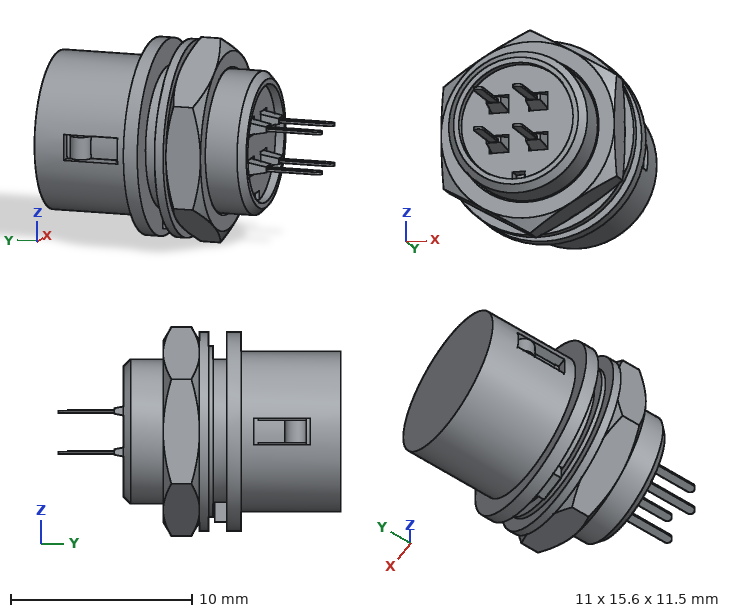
import cadquery as cq
import math


body_length = 12.0
thread_radius = 4.0
end_chamfer = 0.4
flange_radius = 5.5
flange_start = 5.7
flange_end = 6.5
barrel_radius = 4.43

recess_radius = 3.3
recess_depth = 0.5
keyway_width = 0.72
keyway_top = -2.78
keyway_depth = 0.75
key_clearance = 0.1

hexagon_sides = 6
nut_width = 10.0
nut_start = 2.2
nut_thickness = 2.0
nut_chamfer_angle = 30.0
nut_bore_chamfer = 0.11
washer_radius = flange_radius
washer_thickness = 0.5
lock_ring_radius = 4.72
lock_ring_thickness = 0.25

tab_width = 1.7
tab_reach = 5.0
tab_length = 0.67

window_start = 7.2
window_end = 10.3
window_height = 1.46
arm_radius = 3.88
arm_height = 1.26
slit_start = 7.44
slit_depth = 0.35
latch_bump_radius = 0.6
latch_bump_y = 9.5
slit_end = latch_bump_y + latch_bump_radius
latch_bump_reach = 4.41

pin_circle_diameter = 3.2
pin_offset = pin_circle_diameter / 2 * math.sin(math.radians(45))
pin_tip_y = -3.6
pin_width = 0.52
pin_thickness = 0.14
pin_top = 0.02
rib_width = 0.32
rib_height = 0.06
rib_end_y = -3.07
pocket_width = 1.1
pocket_height = 1.0
taper_base_y = 1.3
taper_end_y = -0.5
taper_end_width = 0.83
taper_end_height = 0.32


def box(x_min, x_max, y_min, y_max, z_min, z_max):
    """Box between opposite corner coordinates."""
    size = (x_max - x_min, y_max - y_min, z_max - z_min)
    return cq.Workplane("XY").box(*size, centered=False).translate((x_min, y_min, z_min))


def disc(radius, y_start, y_end):
    """Cylinder about the Y axis."""
    return cq.Workplane("XZ", origin=(0, y_end, 0)).circle(radius).extrude(y_end - y_start)


def make_body():
    body = disc(thread_radius, 0, flange_end).faces("<Y").chamfer(end_chamfer)
    body = body.union(disc(flange_radius, flange_start, flange_end))
    body = body.union(disc(barrel_radius, flange_end, body_length))
    return body.cut(disc(recess_radius, 0, recess_depth))


def make_nut():
    """Hexagon with corners on the Z axis, chamfered at both ends."""
    corner_radius = nut_width / 2 / math.cos(math.pi / hexagon_sides)
    nut_end = nut_start + nut_thickness
    hexagon = (
        cq.Workplane("XZ", origin=(0, nut_end, 0))
        .polygon(hexagon_sides, 2 * corner_radius)
        .extrude(nut_thickness)
        .rotate((0, 0, 0), (0, 1, 0), 180 / hexagon_sides)
    )
    chamfer_radial = corner_radius - nut_width / 2
    chamfer_axial = chamfer_radial * math.tan(math.radians(nut_chamfer_angle))
    envelope = disc(corner_radius, nut_start, nut_end)
    envelope = envelope.faces("<Y or >Y").chamfer(chamfer_axial, chamfer_radial)
    bore_mouth = (
        cq.Workplane("XY")
        .moveTo(thread_radius, nut_start)
        .lineTo(thread_radius + nut_bore_chamfer, nut_start)
        .lineTo(thread_radius, nut_start + nut_bore_chamfer)
        .close()
        .revolve(360, (0, 0, 0), (0, 1, 0))
    )
    return hexagon.intersect(envelope).cut(disc(thread_radius, nut_start, nut_end)).cut(bore_mouth)


def make_washers():
    washer_start = nut_start + nut_thickness
    ring_start = washer_start + washer_thickness
    washer = disc(washer_radius, washer_start, ring_start)
    return washer.union(disc(lock_ring_radius, ring_start, ring_start + lock_ring_thickness))


def make_tab():
    return box(-tab_width / 2, tab_width / 2, flange_start - tab_length, flange_start, -tab_reach, 0)


def make_keyway():
    """Slot in the insert rim, partly filled by a key with a rounded nose."""
    half_width = keyway_width / 2
    slot_end = recess_depth + keyway_depth
    slot = box(-half_width, half_width, 0, slot_end, -recess_radius, keyway_top)
    key = (
        cq.Workplane("XY", origin=(0, 0, -recess_radius))
        .moveTo(-half_width, slot_end)
        .threePointArc((0, slot_end - half_width), (half_width, slot_end))
        .close()
        .extrude(keyway_top - key_clearance + recess_radius)
    )
    return slot.cut(key).intersect(disc(recess_radius, 0, slot_end))


def make_latch_window():
    """Window through the barrel wall on the +X side, with a slit on each side of the latch arm."""
    half_window = window_height / 2
    half_arm = arm_height / 2
    window = box(0, flange_radius, window_start, window_end, -half_window, half_window)
    window = window.cut(disc(arm_radius, window_start, window_end))
    slits = box(0, arm_radius, slit_start, slit_end, -half_window, half_window)
    slits = slits.cut(box(0, arm_radius, slit_start, slit_end, -half_arm, half_arm))
    slits = slits.cut(disc(arm_radius - slit_depth, slit_start, slit_end))
    return window.union(slits)


def make_latch_bump():
    """Rounded bump across the +X latch arm, rooted in the arm."""
    root_x = arm_radius - slit_depth
    center_x = latch_bump_reach - latch_bump_radius
    return (
        cq.Workplane("XY", origin=(0, latch_bump_y, -arm_height / 2))
        .moveTo(root_x, -latch_bump_radius)
        .lineTo(center_x, -latch_bump_radius)
        .threePointArc((latch_bump_reach, 0), (center_x, latch_bump_radius))
        .lineTo(root_x, latch_bump_radius)
        .close()
        .extrude(arm_height)
    )


def make_pin_pocket():
    """Rectangular pocket in the insert, centred on the pin axis."""
    half_width = pocket_width / 2
    half_height = pocket_height / 2
    return box(-half_width, half_width, 0, taper_base_y, -half_height, half_height)


def round_ended_bar(width, tip_y, z_min, z_max):
    """Flat bar along Y from the pin taper to a rounded tip."""
    half_width = width / 2
    return (
        cq.Workplane("XY", origin=(0, 0, z_min))
        .moveTo(half_width, taper_base_y)
        .lineTo(half_width, tip_y + half_width)
        .threePointArc((0, tip_y), (-half_width, tip_y + half_width))
        .lineTo(-half_width, taper_base_y)
        .close()
        .extrude(z_max - z_min)
    )


def make_pin():
    """Tapered root, flat blade and a low crowned rib along the blade's upper side."""
    taper = (
        cq.Workplane("XZ", origin=(0, taper_base_y, 0))
        .rect(pocket_width, pocket_height)
        .workplane(offset=taper_base_y - taper_end_y)
        .rect(taper_end_width, taper_end_height)
        .loft(ruled=True)
    )
    blade = round_ended_bar(pin_width, pin_tip_y, pin_top - pin_thickness, pin_top)
    crown_radius = ((rib_width / 2) ** 2 + rib_height**2) / (2 * rib_height)
    crown = disc(crown_radius, pin_tip_y, taper_base_y)
    crown = crown.translate((0, 0, pin_top + rib_height - crown_radius))
    rib = round_ended_bar(rib_width, rib_end_y, pin_top - pin_thickness / 2, pin_top + rib_height)
    return taper.union(blade).union(rib.intersect(crown))


result = make_body().union(make_washers()).union(make_nut()).union(make_tab()).cut(make_keyway())

latch_window = make_latch_window()
latch_bump = make_latch_bump()
for turn in (0, 180):
    result = result.cut(latch_window.rotate((0, 0, 0), (0, 1, 0), turn))
    result = result.union(latch_bump.rotate((0, 0, 0), (0, 1, 0), turn))

pin_pocket = make_pin_pocket()
pin = make_pin()
for x_sign in (-1, 1):
    for z_sign in (-1, 1):
        place = (x_sign * pin_offset, 0, z_sign * pin_offset)
        result = result.cut(pin_pocket.translate(place)).union(pin.translate(place))